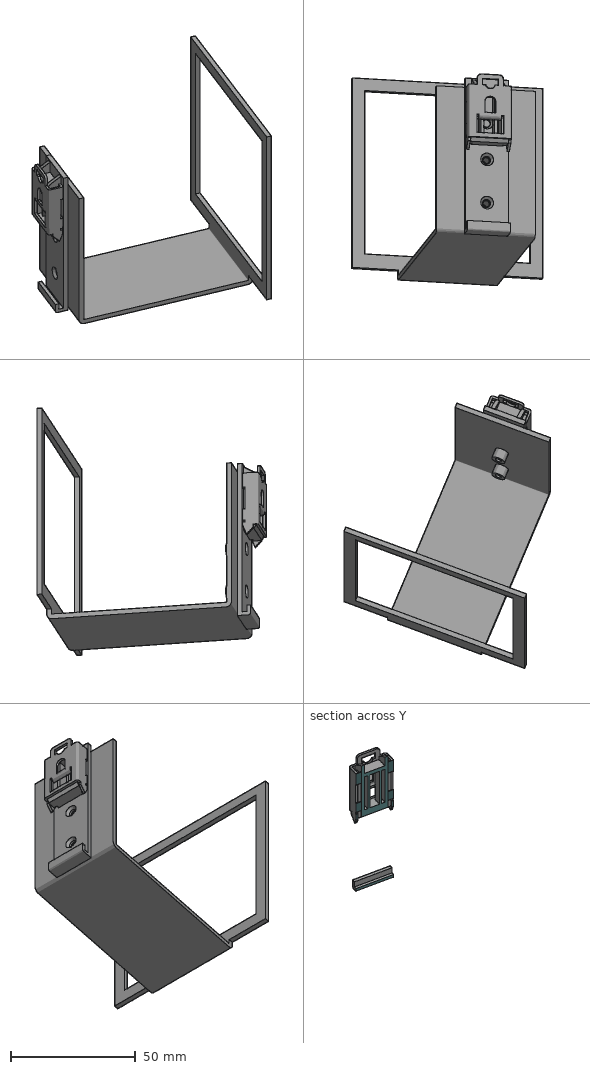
import cadquery as cq
import math

frame_width = 78.0
overall_depth = 84.3
overall_height = 83.0
front_y = -overall_depth / 2
rear_y = overall_depth / 2

bracket_sheet = 2.0
bracket_width = 40.5
bend_outer_radius = 2.3
bend_inner_radius = bend_outer_radius - bracket_sheet
upright_height = 60.95
frame_bottom = 4.2
window_size = 67.95
window_bottom = 10.1
window_top = window_bottom + window_size
boss_diameter = 5.6
boss_length = 4.05
boss_bore = 2.5
screw_heights = (13.0, 30.9)

plate_width = 17.6
plate_thickness = 2.0
plate_top = 64.3
plate_front_y = -35.7
plate_back_y = plate_front_y + plate_thickness
hook_sheet = 1.5
hook_front_y = -39.1
hook_height = 4.1
hook_corner_radius = 1.0
screw_clearance = 3.2
screw_head_diameter = 5.2
countersink_angle = 82.0
blind_screw_height = 46.3

clip_sheet = 1.0
clip_width = plate_width
clip_top = 60.2
clip_bottom = 38.35
clip_front_bend = 1.1
clip_rear_bend = 0.8
clip_inner_width = clip_width - 2 * clip_sheet
clip_inner_y = front_y + clip_sheet
lip_front_y = plate_front_y - clip_sheet
lip_gap = 12.65
notch_spans = ((45.0, 54.2), (39.45, 40.2))
notch_front_y = plate_front_y - 1.1
wall_step = 1.3
wall_point_y = -37.35
wall_point_z = 34.2
tongue_width = 10.7
tongue_top = 64.6
tongue_corner_radius = 1.7
top_window_width = 6.4
top_window_top = 62.7
top_window_arc_width = 3.9
top_window_arc_bottom = 58.75
arch_width = 4.4
arch_bottom = 48.7
arch_top = 55.5
low_window_width = 11.0
low_window_bottom = 40.2
low_window_top = 47.7
tab_width = 9.4
tab_radius = 1.6

guide_top = 58.8
guide_bottom = 36.8
guide_cavity_width = tab_width
guide_cavity_top = 56.8
guide_wall_thickness = (lip_gap - guide_cavity_width) / 2
guide_rib_thickness = 1.2
guide_rib_gap = 4.4
guide_rib_front_y = -39.9
guide_bevel_depth = 0.9
ear_bevel_depth = 1.35
ear_bevel_drop = 0.8
gusset_top = 63.7
gusset_nose_y = -40.2
gusset_nose_z = 61.1


def block(width, y_range, z_range, x_center=0.0):
    """Box given by its width about x_center and its Y and Z limits."""
    (y0, y1), (z0, z1) = y_range, z_range
    return (
        cq.Workplane("XY")
        .box(width, y1 - y0, z1 - z0, centered=(True, False, False))
        .translate((x_center, y0, z0))
    )


def side_profile(points, width, x_center=0.0):
    """Closed (Y, Z) outline extruded along X, symmetric about x_center."""
    return (
        cq.Workplane("YZ")
        .polyline(points)
        .close()
        .extrude(width / 2, both=True)
        .translate((x_center, 0, 0))
    )


def bore(diameter, y_range, height):
    """Cylinder along Y on the centre line at the given height."""
    y0, y1 = y_range
    return (
        cq.Workplane("XZ", origin=(0, y1, 0))
        .center(0, height)
        .circle(diameter / 2)
        .extrude(y1 - y0)
    )


def make_bracket():
    upright_back_y = plate_back_y + bracket_sheet
    frame_front_y = rear_y - bracket_sheet

    outer = block(bracket_width, (plate_back_y, rear_y), (0, overall_height))
    outer = outer.edges("|X and <Z").fillet(bend_outer_radius)
    inner = block(bracket_width, (upright_back_y, frame_front_y), (bracket_sheet, overall_height))
    inner = inner.edges("|X and <Z").fillet(bend_inner_radius)
    above_upright = block(bracket_width, (plate_back_y, upright_back_y), (upright_height, overall_height))
    body = outer.cut(inner).cut(above_upright)

    frame_y = (frame_front_y, rear_y)
    body = body.union(block(frame_width, frame_y, (frame_bottom, overall_height)))
    body = body.cut(block(window_size, frame_y, (window_bottom, window_top)))

    boss_end_y = upright_back_y + boss_length
    for height in screw_heights:
        body = body.union(bore(boss_diameter, (upright_back_y, boss_end_y), height))
        body = body.cut(bore(boss_bore, (plate_back_y, boss_end_y), height))
    return body


def make_guide():
    """Hollow block that carries the clip: narrow foot between the lips, wider ears in front."""
    foot = block(lip_gap, (lip_front_y, plate_front_y), (guide_bottom, guide_top))
    ears = side_profile(
        [
            (lip_front_y, guide_top),
            (clip_inner_y, guide_top),
            (clip_inner_y, clip_bottom),
            (clip_inner_y + guide_bevel_depth, guide_bottom),
            (lip_front_y, guide_bottom),
        ],
        clip_inner_width,
    )
    cavity_y = (clip_inner_y, plate_front_y)
    cavity = block(guide_cavity_width, cavity_y, (low_window_bottom, guide_cavity_top))
    guide = foot.union(ears).cut(cavity)

    ear_width = (clip_inner_width - lip_gap) / 2
    ear_x = (lip_gap + ear_width) / 2
    ear_bevel = [
        (clip_inner_y, guide_top),
        (clip_inner_y + ear_bevel_depth, guide_top),
        (clip_inner_y, guide_top - ear_bevel_drop),
    ]
    for side in (-1, 1):
        guide = guide.cut(side_profile(ear_bevel, ear_width, side * ear_x))

    gusset_outline = [
        (plate_front_y, guide_top),
        (plate_front_y, gusset_top),
        (gusset_nose_y, gusset_nose_z),
        (clip_inner_y, clip_top),
        (clip_inner_y, guide_top),
    ]
    gusset_x = (lip_gap - guide_wall_thickness) / 2
    rib_x = (guide_rib_gap + guide_rib_thickness) / 2
    rib_y = (guide_rib_front_y, plate_front_y)
    for side in (-1, 1):
        guide = guide.union(side_profile(gusset_outline, guide_wall_thickness, side * gusset_x))
        rib = block(guide_rib_thickness, rib_y, (low_window_bottom, guide_cavity_top), side * rib_x)
        guide = guide.union(rib)
    return guide


def make_rail_plate():
    hook_inner_y = hook_front_y + hook_sheet
    body = side_profile(
        [
            (plate_back_y, 0),
            (plate_back_y, plate_top),
            (plate_front_y, plate_top),
            (plate_front_y, hook_sheet),
            (hook_inner_y, hook_sheet),
            (hook_inner_y, hook_height),
            (hook_front_y, hook_height),
            (hook_front_y, 0),
        ],
        plate_width,
    )
    body = body.edges("|X and <Y and <Z").fillet(hook_corner_radius)

    body = (
        body.copyWorkplane(cq.Workplane("XZ", origin=(0, plate_front_y, 0)))
        .pushPoints([(0, height) for height in (*screw_heights, blind_screw_height)])
        .cskHole(screw_clearance, screw_head_diameter, countersink_angle, plate_thickness)
    )
    return body.union(make_guide())


def clip_channel():
    """C-shaped sheet channel, with side walls running down to a point below the front face."""
    step_y = front_y + 2 * clip_sheet
    lip_bottom = min(low for low, high in notch_spans)
    outline = [
        (plate_front_y, clip_top),
        (front_y, clip_top),
        (front_y, clip_bottom),
        (step_y, clip_bottom),
        (step_y, clip_bottom - wall_step),
        (wall_point_y, wall_point_z),
        (plate_front_y, clip_bottom),
    ]
    section = block(clip_width, (front_y, plate_front_y), (wall_point_z, clip_top))
    section = section.edges("|Z and <Y").fillet(clip_front_bend)
    section = section.edges("|Z and >Y").fillet(clip_rear_bend)
    hollow = block(clip_inner_width, (clip_inner_y, lip_front_y), (wall_point_z, clip_top))
    slot = block(lip_gap, (lip_front_y, plate_front_y), (wall_point_z, clip_top))
    below_lips = block(clip_inner_width, (lip_front_y, plate_front_y), (wall_point_z, lip_bottom))
    channel = section.cut(hollow).cut(slot).cut(below_lips)
    return channel.intersect(side_profile(outline, clip_width))


def clip_openings():
    """Cutters for the openings in the front face."""
    face = cq.Workplane("XZ", origin=(0, clip_inner_y, 0))
    half_window = top_window_width / 2
    half_arc = top_window_arc_width / 2
    top_window = (
        face.moveTo(-half_window, top_window_top)
        .lineTo(half_window, top_window_top)
        .lineTo(half_window, clip_top)
        .lineTo(half_arc, clip_top)
        .threePointArc((0, top_window_arc_bottom), (-half_arc, clip_top))
        .lineTo(-half_window, clip_top)
        .close()
        .extrude(clip_sheet)
    )
    half_arch = arch_width / 2
    arch = (
        face.moveTo(-half_arch, arch_bottom)
        .lineTo(half_arch, arch_bottom)
        .lineTo(half_arch, arch_top - half_arch)
        .threePointArc((0, arch_top), (-half_arch, arch_top - half_arch))
        .close()
        .extrude(clip_sheet)
    )
    low_window = block(low_window_width, (front_y, clip_inner_y), (low_window_bottom, low_window_top))
    return top_window.union(arch).union(low_window)


def clip_tab():
    """Tab bent inwards a quarter turn at the top of the lower window."""
    inner_radius = tab_radius - clip_sheet
    diagonal = math.sqrt(0.5)
    center_y = front_y + tab_radius
    return (
        cq.Workplane("YZ")
        .moveTo(front_y, low_window_top)
        .threePointArc(
            (center_y - tab_radius * diagonal, low_window_top - tab_radius * diagonal),
            (center_y, low_window_top - tab_radius),
        )
        .lineTo(center_y, low_window_top - inner_radius)
        .threePointArc(
            (center_y - inner_radius * diagonal, low_window_top - inner_radius * diagonal),
            (clip_inner_y, low_window_top),
        )
        .close()
        .extrude(tab_width / 2, both=True)
    )


def make_clip():
    body = clip_channel()
    tongue = block(tongue_width, (front_y, clip_inner_y), (clip_top, tongue_top))
    tongue = tongue.edges("|Y and >Z").fillet(tongue_corner_radius)
    body = body.union(tongue).cut(clip_openings()).union(clip_tab())
    for span in notch_spans:
        body = body.cut(block(clip_width, (notch_front_y, plate_front_y), span))
    return body


bracket = make_bracket()
rail_plate = make_rail_plate()
clip = make_clip()

result = cq.Compound.makeCompound([body.solids().val() for body in (bracket, rail_plate, clip)])